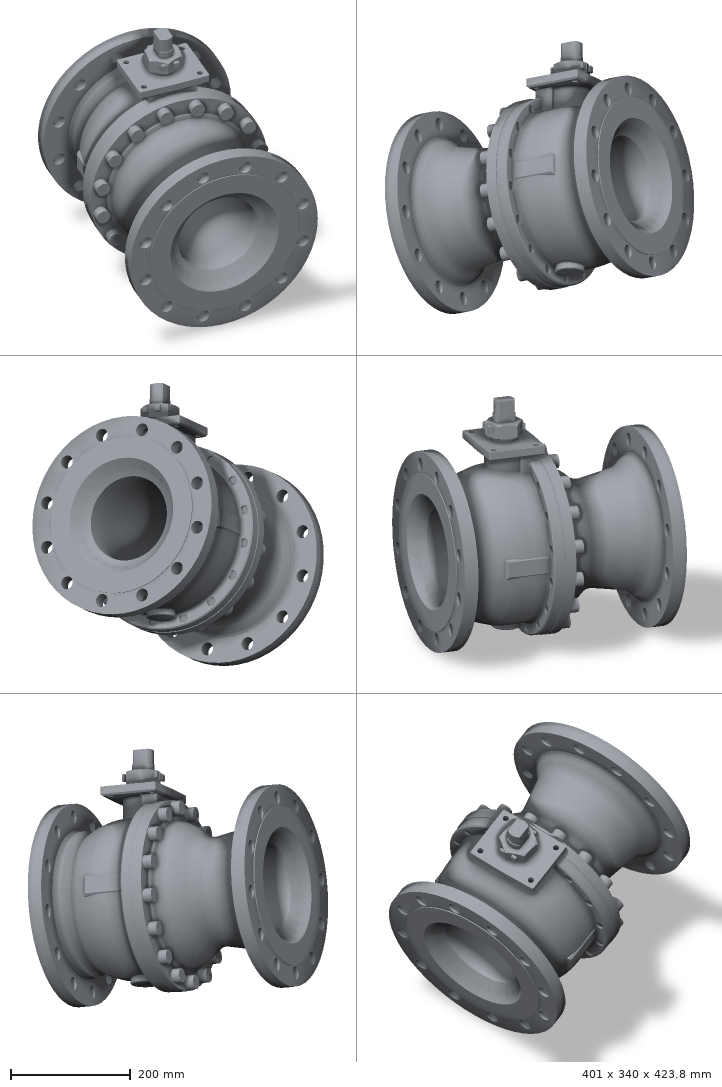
import cadquery as cq
import math


inlet_x = -137.0
outlet_x = 264.0
pipe_flange_dia = 340.0
pipe_flange_thickness = 24.5
raised_face_height = 1.5
raised_face_dia = 267.8
flange_hole_dia = 22.0
flange_hole_circle_radius = 147.5
flange_hole_count = 12

flange_root_radius = 125.5
collar_start_x = -104.5
collar_end_x = -95.5
collar_radius = 245.5 / 2
throat_x = -79.5
throat_radius = 117.0
step_middle = (-88.5, 117.8)
chamber_middle = (-44.5, 132.5)
chamber_end_x = -12.3
body_radius = 137.0
body_fillet = 4.2
joint_x = 49.0
body_flange_face_x = 29.2
body_flange_radius = 159.5
body_flange_chamfer = 2.0
cap_flange_radius = 320.7 / 2
cap_flange_end_x = 68.2
cap_spigot_radius = 264.0 / 2
cap_spigot_end_x = 73.0

dome_start = (76.0, 125.5)
dome_middle = (101.5, 114.0)
dome_end = (117.8, 101.3)
waist_middle = (133.5, 93.0)
waist_end = (151.0, 93.0)
flare_start = (205.5, 104.0)
flare_middle = (217.0, 108.5)
flare_end = (224.5, 115.0)
cap_root_start = (235.0, 123.0)
cap_root_radius = 126.5

bore_dia = 144.5
mouth_dia = 196.0
taper_length = 26.3
taper_bulge = 2.5

bolt_dia = 24.0
bolt_length = 15.5
bolt_hole_dia = 16.0
bolt_hole_depth = 4.2
bolt_circle_radius = 146.0
bolt_count = 16

margin = 0.5

neck_radius = 34.0
neck_fillet = 4.2
neck_base_z = 106.0
neck_foot_z = 127.0
block_start_x = 14.0
block_end_x = 44.0
block_half_width = 43.5
block_chamfer = 3.5

plate_bottom_z = 168.5
plate_top_z = 184.5
plate_half_length = 63.5
plate_corner_half_width = 50.5
plate_middle_half_width = 51.5
plate_corner_radius = 3.0
plate_bottom_chamfer = 3.0
plate_hole_dia = 10.0
plate_hole_pitch_x = 76.0
plate_hole_pitch_y = 101.5

gland_collar_dia = 46.5
nut_bottom_z = 191.5
nut_top_z = 216.0
nut_corner_radius = 65.5 / 2
nut_rim_radius = 29.0
nut_chamfer_height = 2.0
nut_turn = -8.0
tab_outer_x = 32.0
tab_inner_x = 27.5
tab_inner_y = 6.8
tab_outer_y = 16.0
tab_bottom_z = 201.5
tab_top_z = 213.0
tab_chamfer = 1.5
stem_top_z = 253.8
stem_step_z = 228.8
stem_lower_dia = 38.0
stem_upper_dia = 35.0
stem_across_flats = 24.0

bottom_pad_x = 3.5
bottom_pad_dia = 48.7
bottom_pad_z = -146.0
bottom_pad_chamfer = 1.3
bottom_pad_fillet = 1.3
side_pad_start_x = -48.5
side_pad_half_height = 17.5
side_pad_half_width = 137.5
side_pad_chamfer = 4.0


def ring_of_points(radius, count):
    """Points on a circle about the pipe axis, straddling the vertical centre line."""
    step = 2 * math.pi / count
    angles = [(i + 0.5) * step for i in range(count)]
    return [(radius * math.cos(a), radius * math.sin(a)) for a in angles]


def axial_cylinders(start_x, length, dia, points):
    """Cylinders parallel to the pipe axis."""
    plane = cq.Workplane("YZ", origin=(start_x, 0, 0))
    return plane.pushPoints(points).circle(dia / 2).extrude(length)


def vertical_cylinder(x, bottom_z, top_z, dia):
    return cq.Workplane("XY", origin=(x, 0, bottom_z)).circle(dia / 2).extrude(top_z - bottom_z)


def span_box(x0, x1, y0, y1, z0, z1):
    return cq.Workplane("XY").box(x1 - x0, y1 - y0, z1 - z0, centered=False).translate((x0, y0, z0))


def castings():
    """Body and end cap revolved about the pipe axis as one outline of (x, radius)."""
    inlet_flange_x = inlet_x + raised_face_height
    inlet_back_x = inlet_flange_x + pipe_flange_thickness
    outlet_flange_x = outlet_x - raised_face_height
    outlet_back_x = outlet_flange_x - pipe_flange_thickness
    fillet_start_x = body_flange_face_x - body_fillet
    fillet_mid = body_fillet * math.sqrt(0.5)
    outline = (
        cq.Workplane("XY")
        .moveTo(inlet_x, 0)
        .lineTo(inlet_x, raised_face_dia / 2)
        .lineTo(inlet_flange_x, raised_face_dia / 2)
        .lineTo(inlet_flange_x, pipe_flange_dia / 2)
        .lineTo(inlet_back_x, pipe_flange_dia / 2)
        .lineTo(inlet_back_x, flange_root_radius)
        .lineTo(collar_start_x, collar_radius)
        .lineTo(collar_end_x, collar_radius)
        .threePointArc(step_middle, (throat_x, throat_radius))
        .threePointArc(chamber_middle, (chamber_end_x, body_radius))
        .lineTo(fillet_start_x, body_radius)
        .threePointArc(
            (fillet_start_x + fillet_mid, body_radius + body_fillet - fillet_mid),
            (body_flange_face_x, body_radius + body_fillet),
        )
        .lineTo(body_flange_face_x, body_flange_radius - body_flange_chamfer)
        .lineTo(body_flange_face_x + body_flange_chamfer, body_flange_radius)
        .lineTo(joint_x, body_flange_radius)
        .lineTo(joint_x, cap_flange_radius)
        .lineTo(cap_flange_end_x, cap_flange_radius)
        .lineTo(cap_flange_end_x, cap_spigot_radius)
        .lineTo(cap_spigot_end_x, cap_spigot_radius)
        .lineTo(*dome_start)
        .threePointArc(dome_middle, dome_end)
        .threePointArc(waist_middle, waist_end)
        .lineTo(*flare_start)
        .threePointArc(flare_middle, flare_end)
        .lineTo(*cap_root_start)
        .lineTo(outlet_back_x, cap_root_radius)
        .lineTo(outlet_back_x, pipe_flange_dia / 2)
        .lineTo(outlet_flange_x, pipe_flange_dia / 2)
        .lineTo(outlet_flange_x, raised_face_dia / 2)
        .lineTo(outlet_x, raised_face_dia / 2)
        .lineTo(outlet_x, 0)
        .close()
    )
    return outline.revolve(360, (0, 0, 0), (1, 0, 0))


def bore():
    """Through bore that flares in a curve to a wider mouth at each end."""
    mouth = mouth_dia / 2
    throat = bore_dia / 2
    half_taper = taper_length / 2
    middle = (mouth + throat) / 2 + taper_bulge
    outline = (
        cq.Workplane("XY")
        .moveTo(inlet_x, 0)
        .lineTo(inlet_x, mouth)
        .threePointArc((inlet_x + half_taper, middle), (inlet_x + taper_length, throat))
        .lineTo(outlet_x - taper_length, throat)
        .threePointArc((outlet_x - half_taper, middle), (outlet_x, mouth))
        .lineTo(outlet_x, 0)
        .close()
    )
    return outline.revolve(360, (0, 0, 0), (1, 0, 0))


def flange_holes():
    points = ring_of_points(flange_hole_circle_radius, flange_hole_count)
    cut_length = pipe_flange_thickness + raised_face_height
    inlet = axial_cylinders(inlet_x, cut_length, flange_hole_dia, points)
    outlet = axial_cylinders(outlet_x - cut_length, cut_length, flange_hole_dia, points)
    return inlet.union(outlet)


def neck():
    """Round-fronted neck, flat on both sides, running back to the body flange."""
    post = vertical_cylinder(0, neck_base_z, plate_bottom_z, 2 * neck_radius)
    sides = span_box(0, block_end_x, -neck_radius, neck_radius, neck_base_z, plate_bottom_z)
    return post.union(sides)


def neck_block():
    """Wider block that ties the neck to the body flange."""
    block = span_box(
        block_start_x, block_end_x, -block_half_width, block_half_width, neck_base_z, plate_bottom_z
    )
    return block.edges("|Z and <X").chamfer(block_chamfer)


def plate():
    """Rectangular plate whose long sides bow out to a shallow crease at mid length."""
    corners = [
        (-plate_corner_half_width, -plate_half_length),
        (plate_corner_half_width, -plate_half_length),
        (plate_middle_half_width, 0),
        (plate_corner_half_width, plate_half_length),
        (-plate_corner_half_width, plate_half_length),
        (-plate_middle_half_width, 0),
    ]
    body = (
        cq.Workplane("XY", origin=(0, 0, plate_bottom_z))
        .polyline(corners)
        .close()
        .extrude(plate_top_z - plate_bottom_z)
    )
    body = body.edges("|Z and (<Y or >Y)").fillet(plate_corner_radius)
    body = body.faces("<Z").chamfer(plate_bottom_chamfer)
    return (
        body.faces(">Z")
        .workplane(origin=(0, 0, plate_top_z))
        .rarray(plate_hole_pitch_x, plate_hole_pitch_y, 2, 2)
        .hole(plate_hole_dia)
    )


def nut():
    """Hexagon nut with both ends turned down, carrying four small locking tabs."""
    hexagon = (
        cq.Workplane("XY", origin=(0, 0, nut_bottom_z))
        .transformed(rotate=(0, 0, nut_turn))
        .polygon(6, 2 * nut_corner_radius)
        .extrude(nut_top_z - nut_bottom_z)
    )
    envelope = (
        vertical_cylinder(0, nut_bottom_z, nut_top_z, 2 * nut_corner_radius)
        .faces("<Z or >Z")
        .chamfer(nut_chamfer_height, nut_corner_radius - nut_rim_radius)
    )
    body = hexagon.intersect(envelope)
    tab = span_box(tab_inner_x, tab_outer_x, tab_inner_y, tab_outer_y, tab_bottom_z, tab_top_z)
    tab = tab.edges(">X and >Z").chamfer(tab_chamfer)
    pair = tab.union(tab.mirror("XZ"))
    return body.union(pair).union(pair.mirror("YZ"))


def stem():
    lower = vertical_cylinder(0, nut_bottom_z, stem_step_z, stem_lower_dia)
    upper = vertical_cylinder(0, stem_step_z, stem_top_z, stem_upper_dia)
    flats = cq.Workplane("XY").box(stem_lower_dia, stem_across_flats, 2 * stem_top_z)
    return lower.union(upper).intersect(flats)


def bottom_pad():
    pad = vertical_cylinder(bottom_pad_x, bottom_pad_z, -neck_base_z, bottom_pad_dia)
    return pad.faces("<Z").chamfer(bottom_pad_chamfer)


def side_pads():
    bar = span_box(
        side_pad_start_x,
        body_flange_face_x,
        -side_pad_half_width,
        side_pad_half_width,
        -side_pad_half_height,
        side_pad_half_height,
    )
    outer_edges = "(|X and (<Y or >Y)) or (|Z and <X)"
    return bar.faces("<Y or >Y").edges(outer_edges).chamfer(side_pad_chamfer)


def edges_within(solid, x0, x1, half_width, z0, z1):
    """Edges lying wholly inside a box that is centred across the valve."""
    box = cq.selectors.BoxSelector((x0, -half_width, z0), (x1, half_width, z1), boundingbox=True)
    return solid.edges(box)


def body_with_mounts():
    """Castings with the neck, plate and bottom pad blended on."""
    body = castings().union(neck()).union(neck_block()).union(plate()).union(bottom_pad())
    left = -neck_radius - margin
    reach = block_half_width + margin
    fillet_start_x = body_flange_face_x - body_fillet + margin
    body = edges_within(
        body, left, block_end_x - margin, reach, plate_bottom_z - margin, plate_bottom_z + margin
    ).fillet(neck_fillet)
    foot = edges_within(body, left, fillet_start_x, reach, neck_foot_z, body_radius)
    body = foot.fillet(neck_fillet)
    pad_radius = bottom_pad_dia / 2 + margin
    return edges_within(
        body,
        bottom_pad_x - pad_radius,
        bottom_pad_x + pad_radius,
        pad_radius,
        bottom_pad_z + bottom_pad_chamfer + margin,
        -neck_base_z,
    ).fillet(bottom_pad_fillet)


bolt_points = ring_of_points(bolt_circle_radius, bolt_count)
bolts = axial_cylinders(cap_flange_end_x, bolt_length, bolt_dia, bolt_points)
bolt_holes = axial_cylinders(body_flange_face_x, bolt_hole_depth, bolt_hole_dia, bolt_points)
gland_collar = vertical_cylinder(0, plate_top_z, nut_bottom_z, gland_collar_dia)

result = body_with_mounts()
for feature in (gland_collar, nut(), stem(), side_pads(), bolts):
    result = result.union(feature)
result = result.cut(bore()).cut(flange_holes()).cut(bolt_holes)